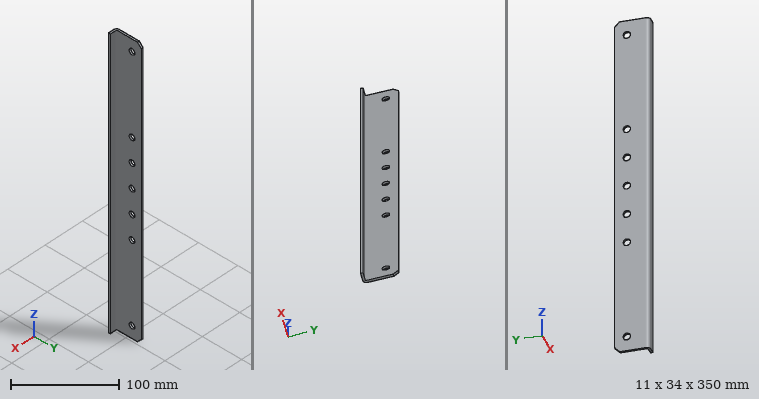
import cadquery as cq

length = 350.0
web_width = 34.0
flange_width = 11.0
thickness = 2.5
inner_bend_radius = 1.0
outer_bend_radius = inner_bend_radius + thickness

corner_chamfer = 5.0

hole_diameter = 7.0
hole_edge_distance = 12.0
end_hole_distance = 15.0
middle_hole_count = 5
middle_hole_pitch = 30.0


def make_angle():
    """L section with a rounded bend, extruded along Z and centred on Z = 0."""
    profile = (
        cq.Workplane("XY")
        .workplane(offset=-length / 2)
        .polyline([
            (0, 0),
            (flange_width, 0),
            (flange_width, thickness),
            (thickness, thickness),
            (thickness, web_width),
            (0, web_width),
        ])
        .close()
    )
    angle = profile.extrude(length)
    angle = angle.edges("|Z and <X and <Y").fillet(outer_bend_radius)
    inner_corner = cq.selectors.NearestToPointSelector((thickness, thickness, 0))
    return angle.edges("|Z").edges(inner_corner).fillet(inner_bend_radius)


def chamfer_web_corners(angle):
    """Cut off both ends of the free edge of the web."""
    return angle.faces(">Y").edges("|X").chamfer(corner_chamfer)


def hole_heights():
    """Z positions: one hole near each end and an evenly spaced row in the middle."""
    end_height = length / 2 - end_hole_distance
    first_middle = -middle_hole_pitch * (middle_hole_count - 1) / 2
    middle = [first_middle + i * middle_hole_pitch for i in range(middle_hole_count)]
    return [-end_height, *middle, end_height]


def make_hole_cutters():
    """Cylinders along X that pass through the web."""
    hole_y = web_width - hole_edge_distance
    return (
        cq.Workplane("YZ")
        .pushPoints([(hole_y, z) for z in hole_heights()])
        .circle(hole_diameter / 2)
        .extrude(thickness)
    )


result = chamfer_web_corners(make_angle()).cut(make_hole_cutters())